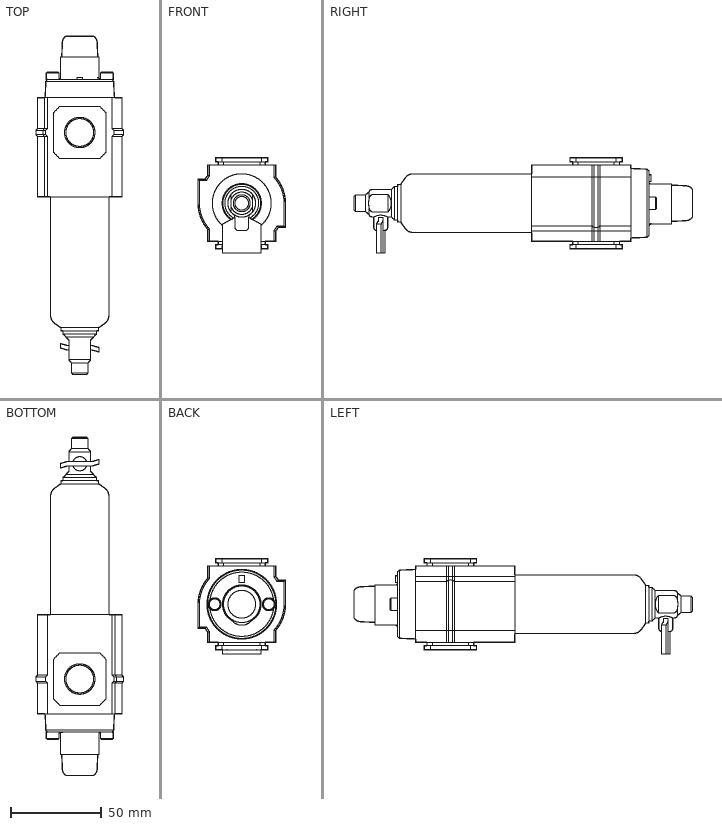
import cadquery as cq
import math


HOUSING_BACK = 19.3
HOUSING_FRONT = -35.5
HOUSING_HALF_HEIGHT = 21.1
FLAT_X = 17.8
CHEEK_X = 23.4
FLAT_END_Z = 15.3
STEP_X = 19.5
LEDGE_Z = 12.5
ARC_END_Z = -14.5

BELT_RISE_FLAT = 1.1
BELT_RISE_CHEEK = 0.85
BELT_BASE_WIDTH = 4.5
BELT_CREST_WIDTH = 2.5

PORT_FACE_Z = 25.3
FLANGE_SIDE = 29.0
FLANGE_CORNER = 3.5
FLANGE_THICKNESS = 2.5
NECK_SIDE = 26.0
NECK_CORNER = 3.0
PORT_RADIUS = 7.7
PORT_CHAMFER = 0.7
PORT_DEPTH = 15.0

BONNET_RADIUS = 19.3
BONNET_RIM_RADIUS = 18.9
BONNET_EDGE = 1.1
BONNET_BACK = 29.4
STEM_RADIUS = 10.7
STEM_BACK = 41.7
STEM_FILLET = 1.0
STEM_CORNER_Z = -6.7
LOBE_X = 4.7
LOBE_Z = -9.7
LOBE_BOTTOM_Z = -11.6
KNOB_BASE_RADIUS = 10.1
KNOB_RADIUS = 9.7
KNOB_END_RADIUS = 7.7
KNOB_ROUND_START = 49.5
KNOB_BACK = 53.3
POINTER_WIDTH = 3.2
POINTER_HEIGHT = 4.0
POINTER_Z = 13.8
POINTER_RISE = 1.1

SCREW_X = 15.0
SCREW_RADIUS = 3.5
SCREW_HEIGHT = 4.0
SCREW_CHAMFER = 0.5

BOWL_RADIUS = 16.3
CONE_START = -103.8
CONE_END = -107.8
CONE_END_RADIUS = 10.9
BOWL_ROUND = 4.9
COLLAR_RADIUS = 10.5
COLLAR_END = -109.6
SHOULDER_RADIUS = 9.4
BARREL_RADIUS = 7.7
BARREL_START = -113.0
BARREL_ROUND_START = -123.5
BARREL_END_RADIUS = 6.2
BARREL_FACE = -125.5
TIP_RADIUS = 4.7
TIP_START = -127.5
TIP_END = -133.8
TIP_CHAMFER = 1.0
FLAT_HALF_WIDTH = 6.0
FLAT_START = -114.9

LEVER_Y = -119.0
SPINDLE_RADIUS = 4.0
SPINDLE_BOTTOM = -15.2
SPINDLE_ROUND = 1.9
LEVER_BOTTOM = -27.5
LEVER_THICKNESS = 2.6
LEVER_MIDDLE_X = 7.0
LEVER_TIP_X = 10.7
LEVER_BEND = 1.1
LEVER_TIP_TOP = -11.6
LEVER_INNER_TOP = -7.9


def section_plane(y):
    """Workplane across the Y axis whose extrusions run towards -Y."""
    return cq.Workplane("XZ", origin=(0, y, 0))


def turned(profile):
    """Solid turned about Y from a closed profile of (y, radius) points in the YZ plane."""
    return profile.close().revolve(360, (0, 0), (1, 0))


def edges_near(solid, y, reach):
    """Edges of the solid that lie in the plane at y, within reach of the Y axis."""
    slack = 0.02
    return solid.edges(cq.selectors.BoxSelector(
        (-reach, y - slack, -reach), (reach, y + slack, reach), boundingbox=True
    ))


def side_section(y, rise_flat=0.0, rise_cheek=0.0):
    """Housing section, alike after half a turn about Y; the rises move its sides outwards."""
    flat = FLAT_X + rise_flat
    step = STEP_X + rise_cheek
    cheek = CHEEK_X + rise_cheek
    ledge = LEDGE_Z + rise_cheek
    return (
        section_plane(y)
        .moveTo(flat, HOUSING_HALF_HEIGHT)
        .lineTo(-flat, HOUSING_HALF_HEIGHT)
        .lineTo(-flat, FLAT_END_Z)
        .lineTo(-step, ledge)
        .lineTo(-cheek, ledge)
        .lineTo(-cheek, 0)
        .tangentArcPoint((-flat, ARC_END_Z), relative=False)
        .lineTo(-flat, -HOUSING_HALF_HEIGHT)
        .lineTo(flat, -HOUSING_HALF_HEIGHT)
        .lineTo(flat, -FLAT_END_Z)
        .lineTo(step, -ledge)
        .lineTo(cheek, -ledge)
        .lineTo(cheek, 0)
        .tangentArcPoint((flat, -ARC_END_Z), relative=False)
        .close()
    )


def belt():
    """Raised belt with sloped edges."""
    base = BELT_BASE_WIDTH / 2
    crest = BELT_CREST_WIDTH / 2
    solid = side_section(crest, BELT_RISE_FLAT, BELT_RISE_CHEEK).extrude(BELT_CREST_WIDTH)
    crest_rises = (BELT_RISE_FLAT, BELT_RISE_CHEEK)
    for side in (1, -1):
        outer = side_section(side * base).wire().val()
        inner = side_section(side * crest, *crest_rises).wire().val()
        solid = solid.union(cq.Workplane(cq.Solid.makeLoft([outer, inner], True)))
    return solid


def square_plate(side, corner, bottom, top):
    """Square plate with cut corners, centred on the port axis."""
    return (
        cq.Workplane("XY", origin=(0, 0, bottom))
        .rect(side, side)
        .extrude(top - bottom)
        .edges("|Z")
        .chamfer(corner)
    )


def port_flange():
    """Upper port flange on its neck."""
    flange_bottom = PORT_FACE_Z - FLANGE_THICKNESS
    flange = square_plate(FLANGE_SIDE, FLANGE_CORNER, flange_bottom, PORT_FACE_Z)
    neck = square_plate(NECK_SIDE, NECK_CORNER, HOUSING_HALF_HEIGHT, flange_bottom)
    return flange.union(neck)


def port_hole():
    """Blind upper port hole with a chamfered mouth."""
    bottom = PORT_FACE_Z - PORT_DEPTH
    mouth_start = PORT_FACE_Z - PORT_CHAMFER
    return (
        cq.Workplane("XZ")
        .polyline([
            (0, bottom),
            (PORT_RADIUS, bottom),
            (PORT_RADIUS, mouth_start),
            (PORT_RADIUS + PORT_CHAMFER, PORT_FACE_Z),
            (0, PORT_FACE_Z),
        ])
        .close()
        .revolve(360, (0, 0), (0, 1))
    )


def make_housing():
    housing = side_section(HOUSING_BACK).extrude(HOUSING_BACK - HOUSING_FRONT).union(belt())
    flange = port_flange()
    hole = port_hole()
    housing = housing.union(flange).union(flange.mirror("XY"))
    return housing.cut(hole).cut(hole.mirror("XY"))


def bonnet_rim():
    return turned(cq.Workplane("YZ").polyline([
        (HOUSING_BACK, 0),
        (HOUSING_BACK, BONNET_RADIUS),
        (BONNET_BACK - BONNET_EDGE, BONNET_RIM_RADIUS),
        (BONNET_BACK, BONNET_RIM_RADIUS - BONNET_EDGE),
        (BONNET_BACK, 0),
    ]))


def bonnet_stem():
    """Round stem with a rounded lobe along its underside."""
    corner_x = math.sqrt(STEM_RADIUS**2 - STEM_CORNER_Z**2)
    return (
        section_plane(STEM_BACK)
        .moveTo(-corner_x, STEM_CORNER_Z)
        .threePointArc((0, STEM_RADIUS), (corner_x, STEM_CORNER_Z))
        .lineTo(LOBE_X, LOBE_Z)
        .threePointArc((0, LOBE_BOTTOM_Z), (-LOBE_X, LOBE_Z))
        .close()
        .extrude(STEM_BACK - BONNET_BACK)
    )


def knob():
    """Slightly tapered knob with a rounded end."""
    return turned(
        cq.Workplane("YZ")
        .moveTo(STEM_BACK, 0)
        .lineTo(STEM_BACK, KNOB_BASE_RADIUS)
        .lineTo(KNOB_ROUND_START, KNOB_RADIUS)
        .tangentArcPoint((KNOB_BACK, KNOB_END_RADIUS), relative=False)
        .lineTo(KNOB_BACK, 0)
    )


def pointer():
    """Small raised mark on the back face of the bonnet."""
    return (
        section_plane(BONNET_BACK + POINTER_RISE)
        .center(0, POINTER_Z)
        .rect(POINTER_WIDTH, POINTER_HEIGHT)
        .extrude(POINTER_RISE)
    )


def make_bonnet():
    rim_and_stem = bonnet_rim().union(bonnet_stem())
    stem_foot = edges_near(rim_and_stem, BONNET_BACK, -LOBE_BOTTOM_Z + STEM_FILLET)
    return stem_foot.fillet(STEM_FILLET).union(knob()).union(pointer())


def make_screw(x):
    """Head of a bonnet screw, seated on the back face of the bonnet."""
    return (
        section_plane(BONNET_BACK + SCREW_HEIGHT)
        .center(x, 0)
        .circle(SCREW_RADIUS)
        .extrude(SCREW_HEIGHT)
        .faces(">Y")
        .chamfer(SCREW_CHAMFER)
    )


def bowl_shell():
    """Bowl with a conical end that blends into its side."""
    shell = turned(cq.Workplane("YZ").polyline([
        (HOUSING_FRONT, 0),
        (HOUSING_FRONT, BOWL_RADIUS),
        (CONE_START, BOWL_RADIUS),
        (CONE_END, CONE_END_RADIUS),
        (CONE_END, 0),
    ]))
    return edges_near(shell, CONE_START, 2 * BOWL_RADIUS).fillet(BOWL_ROUND)


def drain_nozzle():
    """Turned body of the drain cock, from the collar on the bowl to the tip."""
    shoulder_end = BARREL_START + SHOULDER_RADIUS - BARREL_RADIUS
    return turned(
        cq.Workplane("YZ")
        .moveTo(CONE_END, 0)
        .lineTo(CONE_END, COLLAR_RADIUS)
        .lineTo(COLLAR_END, COLLAR_RADIUS)
        .lineTo(COLLAR_END, SHOULDER_RADIUS)
        .lineTo(shoulder_end, SHOULDER_RADIUS)
        .lineTo(BARREL_START, BARREL_RADIUS)
        .lineTo(BARREL_ROUND_START, BARREL_RADIUS)
        .tangentArcPoint((BARREL_FACE, BARREL_END_RADIUS), relative=False)
        .lineTo(TIP_START, TIP_RADIUS)
        .lineTo(TIP_END + TIP_CHAMFER, TIP_RADIUS)
        .lineTo(TIP_END, TIP_RADIUS - TIP_CHAMFER)
        .lineTo(TIP_END, 0)
    )


def wrench_flat():
    """Cutter for the +X wrench flat, with a 45 degree run-out towards the collar."""
    depth = SHOULDER_RADIUS - FLAT_HALF_WIDTH
    return (
        cq.Workplane("XY", origin=(0, 0, -SHOULDER_RADIUS))
        .polyline([
            (FLAT_HALF_WIDTH, TIP_END),
            (FLAT_HALF_WIDTH, FLAT_START),
            (SHOULDER_RADIUS, FLAT_START + depth),
            (SHOULDER_RADIUS, TIP_END),
        ])
        .close()
        .extrude(2 * SHOULDER_RADIUS)
    )


def lever_spindle():
    return (
        cq.Workplane("XY", origin=(0, LEVER_Y, SPINDLE_BOTTOM))
        .circle(SPINDLE_RADIUS)
        .extrude(-SPINDLE_BOTTOM)
        .faces("<Z")
        .edges()
        .fillet(SPINDLE_ROUND)
    )


def lever_plate():
    """Plate bent into a shallow S, with its top edge sloping up to the spindle."""
    half = LEVER_THICKNESS / 2
    bent = (
        cq.Workplane("XY", origin=(0, LEVER_Y, LEVER_BOTTOM))
        .polyline([
            (-LEVER_TIP_X, LEVER_BEND + half),
            (-LEVER_MIDDLE_X, half),
            (LEVER_MIDDLE_X, half),
            (LEVER_TIP_X, -LEVER_BEND + half),
            (LEVER_TIP_X, -LEVER_BEND - half),
            (LEVER_MIDDLE_X, -half),
            (-LEVER_MIDDLE_X, -half),
            (-LEVER_TIP_X, LEVER_BEND - half),
        ])
        .close()
        .extrude(-LEVER_BOTTOM)
    )
    reach = LEVER_THICKNESS + LEVER_BEND
    outline = (
        section_plane(LEVER_Y + reach)
        .polyline([
            (-LEVER_TIP_X, LEVER_BOTTOM),
            (-LEVER_TIP_X, LEVER_TIP_TOP),
            (-SPINDLE_RADIUS, LEVER_INNER_TOP),
            (SPINDLE_RADIUS, LEVER_INNER_TOP),
            (LEVER_TIP_X, LEVER_TIP_TOP),
            (LEVER_TIP_X, LEVER_BOTTOM),
        ])
        .close()
        .extrude(2 * reach)
    )
    return bent.intersect(outline)


def make_bowl():
    flat = wrench_flat()
    nozzle = drain_nozzle().cut(flat).cut(flat.mirror("YZ"))
    return bowl_shell().union(nozzle).union(lever_spindle()).union(lever_plate())


housing = make_housing()
bonnet = make_bonnet()
bowl = make_bowl()
screws = [make_screw(x).val() for x in (-SCREW_X, SCREW_X)]

result = cq.Compound.makeCompound([housing.val(), bonnet.val(), bowl.val(), *screws])